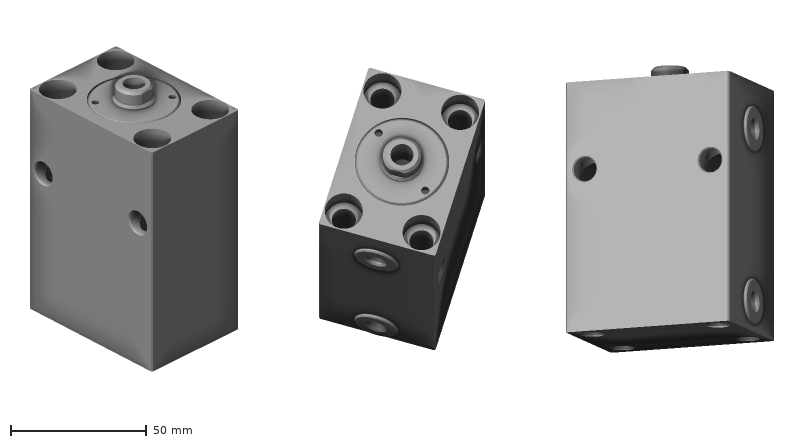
import cadquery as cq
import math

overall_height = 101.0

housing_height = 94.0
housing_depth = 45.0
housing_left = 32.5
housing_right = 32.5
edge_chamfer = 0.5

hole_spacing_x = 50.0
hole_spacing_y = 30.0
mount_hole_diameter = 9.0
counterbore_diameter = 14.0
counterbore_depth = 9.0
cross_hole_diameter = 9.0
cross_hole_height = 60.9
cross_hole_chamfer = 0.5

gland_diameter = 34.9
gland_length = 25.2
gland_chamfer = 1.0
wrench_hole_diameter = 3.0
wrench_hole_depth = 3.0
wrench_hole_radius = 14.3
wrench_hole_angle = 53.5

rod_diameter = 16.0
rod_neck_diameter = 14.1
rod_flat_width = 13.1
rod_tip_chamfer = 1.0
rod_shoulder_drop = 5.5
rod_bore_diameter = 8.5
rod_bore_depth = 15.2
drill_point_angle = 118.0

port_heights = (11.0, 76.0)
flange_diameter = 17.0
flange_thickness = 1.4
flange_chamfer = 0.5
stem_diameter = 13.0
stem_length = 8.1
port_bore_diameter = 7.1
port_bore_chamfer = 0.7

gland_floor = housing_height - gland_length


def cylinder(diameter, length, base_z):
    return cq.Workplane("XY").workplane(offset=base_z).circle(diameter / 2).extrude(length)


def make_housing():
    width = housing_left + housing_right
    block = (
        cq.Workplane("XY")
        .center((housing_right - housing_left) / 2, 0)
        .rect(width, housing_depth)
        .extrude(housing_height)
        .edges("|Z")
        .chamfer(edge_chamfer)
    )

    block = (
        block.faces(">Z")
        .workplane(origin=(0, 0, housing_height))
        .rarray(hole_spacing_x, hole_spacing_y, 2, 2)
        .cboreHole(mount_hole_diameter, counterbore_diameter, counterbore_depth)
    )

    hole_radius = cross_hole_diameter / 2
    mouth_radius = hole_radius + cross_hole_chamfer
    half_depth = housing_depth / 2
    for x in (-hole_spacing_x / 2, hole_spacing_x / 2):
        cross_hole = (
            cq.Workplane("XY", origin=(x, 0, cross_hole_height))
            .moveTo(0, -half_depth)
            .lineTo(mouth_radius, -half_depth)
            .lineTo(hole_radius, -half_depth + cross_hole_chamfer)
            .lineTo(hole_radius, half_depth - cross_hole_chamfer)
            .lineTo(mouth_radius, half_depth)
            .lineTo(0, half_depth)
            .close()
            .revolve(360, (0, 0, 0), (0, 1, 0))
        )
        block = block.cut(cross_hole)

    block = block.cut(cylinder(gland_diameter, gland_length, gland_floor))

    for height in port_heights:
        seat = (
            cq.Workplane("YZ", origin=(-housing_left, 0, height))
            .circle(stem_diameter / 2)
            .extrude(stem_length)
        )
        block = block.cut(seat)
    return block


def make_gland():
    gland = cylinder(gland_diameter, gland_length, gland_floor)
    gland = gland.faces(">Z").edges().chamfer(gland_chamfer)
    gland = gland.cut(cylinder(rod_diameter, gland_length, gland_floor))
    wrench_holes = (
        cq.Workplane("XY")
        .workplane(offset=housing_height - wrench_hole_depth)
        .polarArray(wrench_hole_radius, wrench_hole_angle, 360, 2)
        .circle(wrench_hole_diameter / 2)
        .extrude(wrench_hole_depth)
    )
    return gland.cut(wrench_holes)


def make_rod():
    rod_radius = rod_diameter / 2
    neck_radius = rod_neck_diameter / 2
    neck_foot = overall_height - rod_shoulder_drop
    shoulder_foot = neck_foot - (rod_radius - neck_radius)
    rod = (
        cq.Workplane("XZ")
        .moveTo(0, gland_floor)
        .lineTo(rod_radius, gland_floor)
        .lineTo(rod_radius, shoulder_foot)
        .lineTo(neck_radius, neck_foot)
        .lineTo(neck_radius, overall_height - rod_tip_chamfer)
        .lineTo(neck_radius - rod_tip_chamfer, overall_height)
        .lineTo(0, overall_height)
        .close()
        .revolve(360, (0, 0, 0), (0, 1, 0))
    )

    flat_waste = (
        cq.Workplane("XY")
        .workplane(offset=neck_foot)
        .rect(2 * rod_diameter, rod_diameter)
        .rect(rod_flat_width, rod_diameter)
        .extrude(rod_shoulder_drop)
    )
    rod = rod.cut(flat_waste)

    bore_radius = rod_bore_diameter / 2
    bore_floor = overall_height - rod_bore_depth
    point_length = bore_radius / math.tan(math.radians(drill_point_angle / 2))
    bore = (
        cq.Workplane("XZ")
        .moveTo(0, bore_floor - point_length)
        .lineTo(bore_radius, bore_floor)
        .lineTo(bore_radius, overall_height)
        .lineTo(0, overall_height)
        .close()
        .revolve(360, (0, 0, 0), (0, 1, 0))
    )
    return rod.cut(bore)


def make_port_bushing(height):
    outer_face = -housing_left - flange_thickness
    stem_end = -housing_left + stem_length
    flange_radius = flange_diameter / 2
    stem_radius = stem_diameter / 2
    bore_radius = port_bore_diameter / 2
    return (
        cq.Workplane("XZ", origin=(0, 0, height))
        .moveTo(stem_end, bore_radius)
        .lineTo(stem_end, stem_radius)
        .lineTo(-housing_left, stem_radius)
        .lineTo(-housing_left, flange_radius - flange_chamfer)
        .lineTo(-housing_left - flange_chamfer, flange_radius)
        .lineTo(outer_face + flange_chamfer, flange_radius)
        .lineTo(outer_face, flange_radius - flange_chamfer)
        .lineTo(outer_face, bore_radius + port_bore_chamfer)
        .lineTo(outer_face + port_bore_chamfer, bore_radius)
        .close()
        .revolve(360, (0, 0, 0), (1, 0, 0))
    )


housing = make_housing()
gland = make_gland()
rod = make_rod()
port_bushings = [make_port_bushing(height) for height in port_heights]

result = cq.Compound.makeCompound(
    [housing.val(), gland.val(), rod.val(), *[bushing.val() for bushing in port_bushings]]
)